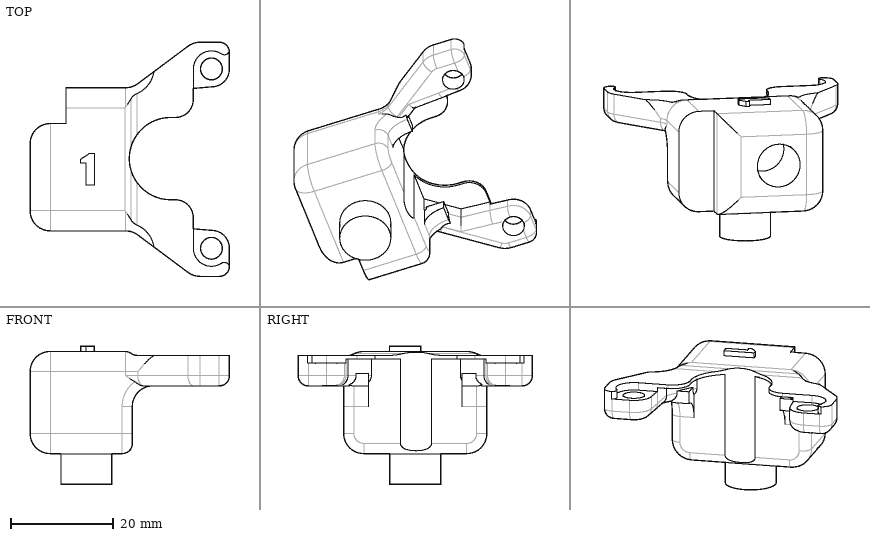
import cadquery as cq
import math

block_length = 20.0
block_width = 28.0
block_height = 20.0
big_radius = 4.0
small_radius = 2.0
notch_length = 7.0
notch_wall_y = 7.0
bore_radius = 4.25
bore_y = -4.5
bore_depth = 16.0
post_x = 10.98
post_radius = 5.0
post_length = 6.0

overall_length = 38.9
overall_width = 45.75
arm_drop = 0.8
arm_thickness = 6.0
lip_thickness = 0.75
step_end_x = 20.9
step_radius = 2.0

fork_y = 0.15
fork_radius = 8.0
lug_pitch = 35.0
lug_radius = 3.5
lug_hole_radius = 2.1
lug_recess_depth = 1.5
nib_radius = 1.0
pocket_bend_x = 26.05
pocket_bend_offset = 13.25
pocket_root_offset = 8.7

gusset_gap = 18.3
gusset_overlap = 2.42
lug_root_offset = 13.67

mark_height = 1.0
mark_right = 12.58
mark_left = 9.9
mark_stem_left = 10.95
mark_top = 1.1
mark_bottom = -5.05
mark_tip_x = 11.52
mark_flag_top = 0.0
mark_flag_bottom = -0.7

half_width = block_width / 2
half_span = overall_width / 2
lug_x = overall_length - lug_radius
lug_offset = lug_pitch / 2
shoulder_x = lug_x - lug_radius
fork_x = lug_x - fork_radius
arm_top = -arm_drop
arm_bottom = arm_top - arm_thickness
gusset_top = arm_bottom + gusset_overlap
slant_angle = math.atan2(half_span - half_width, shoulder_x - block_length)
bend_tangent = big_radius * math.tan(slant_angle / 2)
blend_start_x = block_length - bend_tangent
diagonal = math.sqrt(0.5)


def prism(outline, bottom, top):
    """Extrude a closed XY outline between two heights."""
    return outline.extrude(top - bottom).translate((0, 0, bottom))


def near(x, y, z, reach=0.05):
    """Select the edges whose centre lies close to a point."""
    return cq.selectors.BoxSelector(
        (x - reach, y - reach, z - reach), (x + reach, y + reach, z + reach)
    )


def make_block():
    """Rounded block with a concave gusset behind it under each arm."""
    gusset_end = block_length + big_radius
    arc_mid_x = block_length + big_radius * (1 - diagonal)
    arc_mid_z = arm_bottom - big_radius * (1 - diagonal)
    block = (
        cq.Workplane("XZ")
        .moveTo(0, 0)
        .lineTo(block_length, 0)
        .lineTo(block_length, gusset_top)
        .lineTo(gusset_end, gusset_top)
        .lineTo(gusset_end, arm_bottom)
        .threePointArc((arc_mid_x, arc_mid_z), (block_length, arm_bottom - big_radius))
        .lineTo(block_length, -block_height)
        .lineTo(0, -block_height)
        .close()
        .extrude(half_width, both=True)
    )
    block = block.edges("<X or (|X and (>Z or <Z))").fillet(big_radius)

    rear_bottom_edge = near(block_length, 0, -block_height)
    block = block.edges(rear_bottom_edge).fillet(small_radius)

    gap_outline = (
        cq.Workplane("XY")
        .center(block_length, 0)
        .rect(2 * big_radius, gusset_gap, centered=(False, True))
    )
    return block.cut(prism(gap_outline, arm_bottom - 2 * big_radius, 0))


def cut_notch(body):
    """Remove the -X, +Y corner and round the upright edge left behind."""
    outer = half_width + 0.45
    notch = (
        cq.Workplane("XY")
        .moveTo(0, notch_wall_y - big_radius)
        .threePointArc(
            (big_radius * (1 - diagonal), notch_wall_y - big_radius * (1 - diagonal)),
            (big_radius, notch_wall_y),
        )
        .lineTo(notch_length, notch_wall_y)
        .lineTo(notch_length, outer)
        .lineTo(-0.45, outer)
        .lineTo(-0.45, notch_wall_y - big_radius)
        .close()
    )
    return body.cut(prism(notch, -block_height - 0.45, 0.45))


def pocket_points(side):
    """Inner edge of one arm, from the lug to the block face."""
    return [
        (lug_x, fork_y + side * (lug_offset - lug_radius)),
        (shoulder_x, fork_y + side * lug_root_offset),
        (pocket_bend_x, fork_y + side * pocket_bend_offset),
        (block_length, fork_y + side * pocket_root_offset),
    ]


def make_arm(side):
    """One thick arm with its lug, rounded along the underside."""
    lug_y = fork_y + side * lug_offset
    lug_arc_mid = (lug_x + lug_radius * diagonal, lug_y - side * lug_radius * diagonal)
    inner = pocket_points(side)
    along_x = bend_tangent * math.cos(slant_angle)
    along_y = bend_tangent * math.sin(slant_angle)
    half_turn_x = big_radius * math.sin(slant_angle / 2)
    half_turn_y = big_radius * (1 - math.cos(slant_angle / 2))
    outer_start_x = shoulder_x + bend_tangent
    outline = (
        cq.Workplane("XY")
        .moveTo(blend_start_x, side * half_width)
        .threePointArc(
            (blend_start_x + half_turn_x, side * (half_width + half_turn_y)),
            (block_length + along_x, side * (half_width + along_y)),
        )
        .lineTo(shoulder_x - along_x, side * (half_span - along_y))
        .threePointArc(
            (outer_start_x - half_turn_x, side * (half_span - half_turn_y)),
            (outer_start_x, side * half_span),
        )
        .lineTo(overall_length, side * half_span)
        .lineTo(overall_length, lug_y)
        .threePointArc(lug_arc_mid, inner[0])
        .polyline(inner[1:], includeCurrent=True)
        .lineTo(blend_start_x, inner[-1][1])
        .close()
    )
    arm = prism(outline, arm_bottom, 0)
    mid_z = arm_bottom / 2
    arm = arm.edges(near(overall_length, side * half_span, mid_z)).fillet(small_radius)
    return arm.faces("<Z").edges("not <X").fillet(small_radius)


def make_lip():
    """Thin web between the arms, level with their top."""
    upper = pocket_points(1)[1:]
    lower = pocket_points(-1)[1:]
    outline = cq.Workplane("XY").polyline(upper + lower[::-1]).close()
    return prism(outline, arm_top - lip_thickness, 0)


def cut_blend(arms, side):
    """Carry the block's rounded top edge around the bend into one arm."""
    ring = 2 * big_radius
    bend = (
        cq.Workplane("XZ")
        .moveTo(0, -big_radius)
        .lineTo(big_radius, -big_radius)
        .threePointArc((ring - big_radius * diagonal, -big_radius * (1 - diagonal)), (ring, 0))
        .lineTo(ring, 0.45)
        .lineTo(0, 0.45)
        .close()
        .revolve(360, (0, 0, 0), (0, 1, 0))
        .translate((blend_start_x, side * (half_width + big_radius), 0))
    )
    return arms.cut(bend)


def cut_step(body):
    """Lower the arm tops with an S-curve made of two equal arcs."""
    turn = math.acos(1 - arm_drop / (2 * step_radius))
    run = step_radius * math.sin(turn)
    half_run = step_radius * math.sin(turn / 2)
    half_drop = step_radius * (1 - math.cos(turn / 2))
    start_x = step_end_x - 2 * run
    step = (
        cq.Workplane("XZ")
        .moveTo(start_x, 0)
        .threePointArc((start_x + half_run, -half_drop), (start_x + run, -arm_drop / 2))
        .threePointArc((step_end_x - half_run, half_drop - arm_drop), (step_end_x, -arm_drop))
        .lineTo(overall_length + 0.45, -arm_drop)
        .lineTo(overall_length + 0.45, 0.45)
        .lineTo(start_x, 0.45)
        .close()
        .extrude(overall_width, both=True)
    )
    return body.cut(step)


def cut_fork(body):
    """Open the fork between the arms, with rounded shoulders."""
    flat_end = shoulder_x - lug_radius
    shoulder_offset = fork_radius + lug_radius
    corner = lug_radius * diagonal
    fork = (
        cq.Workplane("XY")
        .moveTo(shoulder_x, fork_y + shoulder_offset)
        .threePointArc(
            (flat_end + corner, fork_y + shoulder_offset - corner),
            (flat_end, fork_y + fork_radius),
        )
        .lineTo(fork_x, fork_y + fork_radius)
        .threePointArc((fork_x - fork_radius, fork_y), (fork_x, fork_y - fork_radius))
        .lineTo(flat_end, fork_y - fork_radius)
        .threePointArc(
            (flat_end + corner, fork_y - shoulder_offset + corner),
            (shoulder_x, fork_y - shoulder_offset),
        )
        .close()
    )
    return body.cut(prism(fork, -block_height - 0.45, 0.45))


def cut_lug(body, side):
    """Recess the top of one lug, leaving a rounded nib, and drill it."""
    lug_y = fork_y + side * lug_offset
    nib_x = overall_length - nib_radius
    reach = lug_radius + nib_radius
    nib_rise = math.sqrt(reach**2 - (nib_x - lug_x) ** 2)
    nib_angle = math.atan2(nib_rise, nib_x - lug_x)
    arc_mid_angle = (math.pi + nib_angle) / 2
    nib_turn = nib_angle / 2 - math.pi / 2

    def place(x, rise):
        return (x, lug_y + side * rise)

    arc_mid = place(
        lug_x + lug_radius * math.cos(arc_mid_angle), lug_radius * math.sin(arc_mid_angle)
    )
    arc_end = place(lug_x + lug_radius * math.cos(nib_angle), lug_radius * math.sin(nib_angle))
    nib_mid = place(
        nib_x + nib_radius * math.cos(nib_turn), nib_rise + nib_radius * math.sin(nib_turn)
    )
    recess = (
        cq.Workplane("XY")
        .moveTo(*place(shoulder_x, -2 * lug_radius))
        .lineTo(*place(shoulder_x, 0))
        .threePointArc(arc_mid, arc_end)
        .threePointArc(nib_mid, place(overall_length, nib_rise))
        .lineTo(*place(overall_length + 0.45, nib_rise))
        .lineTo(*place(overall_length + 0.45, -2 * lug_radius))
        .close()
    )
    hole = cq.Workplane("XY").center(lug_x, lug_y).circle(lug_hole_radius)
    body = body.cut(prism(recess, arm_top - lug_recess_depth, 0.45))
    return body.cut(prism(hole, arm_bottom - 0.45, 0.45))


def make_mark():
    """Raised index mark on top of the block."""
    outline = cq.Workplane("XY").polyline(
        [
            (mark_stem_left, mark_bottom),
            (mark_right, mark_bottom),
            (mark_right, mark_top),
            (mark_tip_x, mark_top),
            (mark_left, mark_flag_top),
            (mark_left, mark_flag_bottom),
            (mark_stem_left, mark_flag_bottom),
        ]
    ).close()
    return prism(outline, -0.45, mark_height)


arms = make_arm(1).union(make_arm(-1)).union(make_lip())
for side in (1, -1):
    arms = cut_blend(arms, side)

body = cut_notch(make_block())
body = cut_fork(cut_step(body.union(arms)))
for side in (1, -1):
    body = cut_lug(body, side)

bore = cq.Workplane("YZ").center(bore_y, -block_height / 2).circle(bore_radius).extrude(bore_depth)
post = cq.Workplane("XY").center(post_x, 0).circle(post_radius)
body = body.cut(bore)
body = body.union(prism(post, -block_height - post_length, -block_height + 0.45))
result = body.union(make_mark())